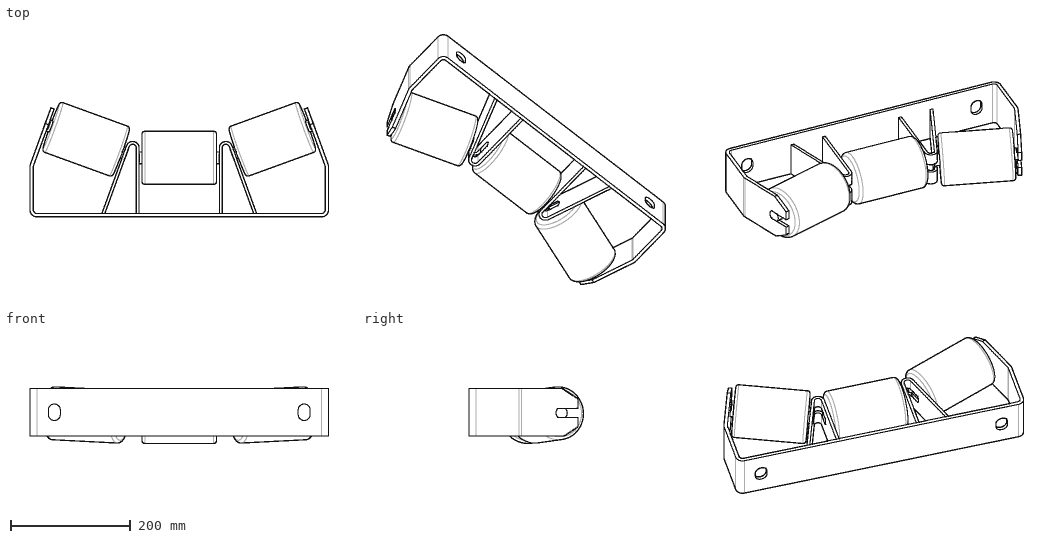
import cadquery as cq
import math

LENGTH = 500.0
STRIP_HEIGHT = 80.0
FRAME_WALL = 6.0
FRAME_BEND_RADIUS = 12.0
LEAN = 20.0
LEAN_START_Y = 86.0
LEANING_LENGTH = 103.0
TIP_WIDTH = 47.0
TIP_SLOPE = 32.0
MOUNT_SLOT_OFFSET = 209.0
MOUNT_SLOT_WIDTH = 20.0
MOUNT_SLOT_HEIGHT = 27.5

ROLLER_LENGTH = 125.0
ROLLER_DIAMETER = 89.0
ROLLER_EDGE_RADIUS = 5.0
AXLE_DIAMETER = 20.0
AXLE_FLATS = 15.0
END_GAP = 4.5
INNER_AXLE_Z = -8.0
OUTER_AXLE_Z = -1.0
SHOULDER_LENGTH = 4.0
MIDDLE_AXLE_Y = 99.0

BRACKET_HEIGHT = 60.0
BRACKET_WALL = 5.0
BRACKET_BEND_RADIUS = 11.0
BRACKET_TOP_Y = 126.5
SIDE_AXLE_DROP = 13.0

SIN_LEAN = math.sin(math.radians(LEAN))
COS_LEAN = math.cos(math.radians(LEAN))
SHOULDER = ROLLER_LENGTH / 2 + SHOULDER_LENGTH
SLOT_REACH = 100.0

OUTWARD = cq.Vector(-COS_LEAN, SIN_LEAN, 0)
UPWARD = cq.Vector(SIN_LEAN, COS_LEAN, 0)
Z_AXIS = cq.Vector(0, 0, 1)
LEAN_CORNER = cq.Vector(-LENGTH / 2, LEAN_START_Y, 0)
FRAME_TIP = LEAN_CORNER + UPWARD * LEANING_LENGTH
BRACKET_FACE = ROLLER_LENGTH / 2 + END_GAP
BEND_CENTRE = cq.Vector(-BRACKET_FACE - BRACKET_BEND_RADIUS, BRACKET_TOP_Y - BRACKET_BEND_RADIUS, 0)

INNER_REACH = BRACKET_FACE + BRACKET_WALL
SIDE_CENTRE_XY = BEND_CENTRE + OUTWARD * (BRACKET_BEND_RADIUS + BRACKET_FACE) - UPWARD * SIDE_AXLE_DROP
OUTER_REACH = (LEAN_CORNER - SIDE_CENTRE_XY).dot(OUTWARD)
SIDE_TILT = math.atan2(OUTER_AXLE_Z - INNER_AXLE_Z, INNER_REACH + OUTER_REACH)
SIDE_CENTRE = SIDE_CENTRE_XY + Z_AXIS * (INNER_AXLE_Z + INNER_REACH * math.tan(SIDE_TILT))
SIDE_AXIS = OUTWARD * math.cos(SIDE_TILT) + Z_AXIS * math.sin(SIDE_TILT)

SIDE_PLANE = cq.Plane(origin=SIDE_CENTRE, xDir=UPWARD, normal=SIDE_AXIS)
MIDDLE_PLANE = cq.Plane(origin=(0, MIDDLE_AXLE_Y, INNER_AXLE_Z), xDir=(0, 1, 0), normal=(-1, 0, 0))


def mirrored(body):
    """Right-hand copy of a left-hand body."""
    return body.mirror("YZ")


def strip(outline, height):
    """Extrude an outline in XY to a strip height, from the lower edge of the frame upward."""
    return outline.extrude(height).translate((0, 0, -STRIP_HEIGHT / 2))


def axle_end(plane, start, end):
    """Flatted stretch of axle between two positions along the roller axis."""
    work = cq.Workplane(plane).workplane(offset=start)
    rod = work.circle(AXLE_DIAMETER / 2).extrude(end - start)
    flats = work.rect(AXLE_DIAMETER, AXLE_FLATS).extrude(end - start)
    return rod.intersect(flats)


def axle_slot(plane, start, end):
    """Cutter for a slot that seats the axle and opens along the local x of the plane."""
    work = cq.Workplane(plane).workplane(offset=start)
    channel = work.center(SLOT_REACH / 2, 0).rect(SLOT_REACH, AXLE_FLATS).extrude(end - start)
    return channel.union(axle_end(plane, start, end))


def roller(plane, lower_reach, upper_reach):
    drum = (
        cq.Workplane(plane)
        .workplane(offset=-ROLLER_LENGTH / 2)
        .circle(ROLLER_DIAMETER / 2)
        .extrude(ROLLER_LENGTH)
        .edges()
        .fillet(ROLLER_EDGE_RADIUS)
    )
    axle = (
        cq.Workplane(plane)
        .workplane(offset=-SHOULDER)
        .circle(AXLE_DIAMETER / 2)
        .extrude(2 * SHOULDER)
    )
    return drum.union(axle).union(axle_end(plane, -lower_reach, upper_reach))


def frame_strip():
    inner_x = -LENGTH / 2 + FRAME_WALL
    inner_lean_y = LEAN_START_Y - FRAME_WALL * math.tan(math.radians(LEAN / 2))
    inner_tip = FRAME_TIP - OUTWARD * FRAME_WALL
    left_half = [
        (0, FRAME_WALL),
        (inner_x, FRAME_WALL),
        (inner_x, inner_lean_y),
        (inner_tip.x, inner_tip.y),
        (FRAME_TIP.x, FRAME_TIP.y),
        (LEAN_CORNER.x, LEAN_CORNER.y),
        (-LENGTH / 2, 0),
        (0, 0),
    ]
    half = strip(cq.Workplane("XY").polyline(left_half).close(), STRIP_HEIGHT)
    inner_radius = FRAME_BEND_RADIUS - FRAME_WALL
    for x, y, radius in (
        (-LENGTH / 2, 0, FRAME_BEND_RADIUS),
        (-LENGTH / 2, LEAN_START_Y, FRAME_BEND_RADIUS),
        (inner_x, FRAME_WALL, inner_radius),
        (inner_x, inner_lean_y, inner_radius),
    ):
        half = half.edges(cq.selectors.NearestToPointSelector((x, y, 0))).fillet(radius)
    return half


def tip_bevels():
    """Wedges that bevel the two corners of a leaning end, centred on the axle height."""
    plane = cq.Plane(origin=FRAME_TIP + Z_AXIS * OUTER_AXLE_Z, xDir=UPWARD, normal=OUTWARD)
    rise = STRIP_HEIGHT - TIP_WIDTH / 2
    run = rise / math.tan(math.radians(TIP_SLOPE))
    wedge = (
        cq.Workplane(plane)
        .polyline([(0, TIP_WIDTH / 2), (0, STRIP_HEIGHT), (-run, STRIP_HEIGHT)])
        .close()
        .extrude(2 * FRAME_WALL, both=True)
    )
    return wedge.union(wedge.mirror("XY", (0, 0, OUTER_AXLE_Z)))


def mounting_slot():
    return (
        cq.Workplane("XZ", origin=(-MOUNT_SLOT_OFFSET, 0, 0))
        .slot2D(MOUNT_SLOT_HEIGHT, MOUNT_SLOT_WIDTH, 90)
        .extrude(FRAME_WALL, both=True)
    )


def build_frame():
    half = (
        frame_strip()
        .cut(tip_bevels())
        .cut(mounting_slot())
        .cut(axle_slot(SIDE_PLANE, ROLLER_LENGTH / 2, OUTER_REACH + FRAME_WALL))
    )
    return half.union(mirrored(half))


def bend_outline(radius):
    """Filled shape under the bent strip at a given radius about the bend centre, down to the base."""
    shoulder = BEND_CENTRE + OUTWARD * radius
    foot_x = shoulder.x - (shoulder.y - FRAME_WALL) * math.tan(math.radians(LEAN))
    leg_x = BEND_CENTRE.x + radius
    return (
        cq.Workplane("XY")
        .moveTo(foot_x, FRAME_WALL)
        .lineTo(shoulder.x, shoulder.y)
        .threePointArc((BEND_CENTRE.x, BEND_CENTRE.y + radius), (leg_x, BEND_CENTRE.y))
        .lineTo(leg_x, FRAME_WALL)
        .close()
    )


def bend_slot():
    """Opening across the bend that joins the slots of the two legs."""
    width = 2 * BRACKET_BEND_RADIUS
    opening = cq.Workplane("XY").box(width, BRACKET_BEND_RADIUS, AXLE_FLATS, centered=(True, False, True))
    return opening.translate(BEND_CENTRE + Z_AXIS * INNER_AXLE_Z)


def build_left_bracket():
    bent_strip = strip(bend_outline(BRACKET_BEND_RADIUS), BRACKET_HEIGHT).cut(
        strip(bend_outline(BRACKET_BEND_RADIUS - BRACKET_WALL), BRACKET_HEIGHT)
    )
    return (
        bent_strip
        .cut(bend_slot())
        .cut(axle_slot(SIDE_PLANE, -INNER_REACH, -ROLLER_LENGTH / 2))
        .cut(axle_slot(MIDDLE_PLANE, ROLLER_LENGTH / 2, INNER_REACH))
    )


frame = build_frame()
left_bracket = build_left_bracket()
middle_roller = roller(MIDDLE_PLANE, INNER_REACH, INNER_REACH)
left_roller = roller(SIDE_PLANE, INNER_REACH, OUTER_REACH)

bodies = [
    frame,
    left_bracket,
    mirrored(left_bracket),
    middle_roller,
    left_roller,
    mirrored(left_roller),
]

result = cq.Compound.makeCompound([body.solids().val() for body in bodies])